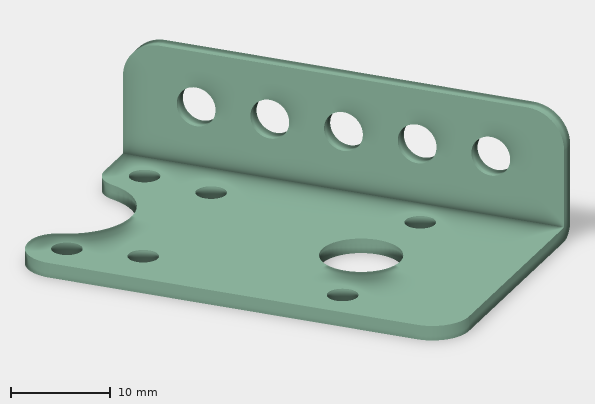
import cadquery as cq
import math

length = 48.0
depth = 30.0
height = 14.0
thickness = 1.6
corner_radius = 4.0
bend_radius = thickness

axis_y = 14.0
screw_diameter = 3.15
outer_screw_x = 4.2
outer_screw_pitch_x = 30.0
outer_screw_offset_y = 10.0
inner_screw_x = 12.0
inner_screw_offset_y = 8.75
shaft_x = 32.0
shaft_diameter = 8.45

notch_radius = 7.0
mouth_radius = 3.0

flange_hole_count = 5
flange_hole_pitch = 8.0
flange_hole_diameter = 4.2
flange_hole_z = 8.0


def make_bent_sheet():
    """L-shaped section with a rounded outer bend, extruded along X."""
    sheet = (
        cq.Workplane("YZ")
        .polyline([
            (0, 0),
            (depth, 0),
            (depth, height),
            (depth - thickness, height),
            (depth - thickness, thickness),
            (0, thickness),
        ])
        .close()
        .extrude(length)
    )
    sheet = sheet.edges("|X and >Y and <Z").fillet(bend_radius)
    sheet = sheet.faces("<Y").edges("|Z").fillet(corner_radius)
    return sheet.faces(">Z").edges("|Y").fillet(corner_radius)


def make_notch():
    """Cutter for the arc centred on the left edge and its two tangent mouth arcs."""
    center_distance = notch_radius + mouth_radius
    mouth_half_width = math.sqrt(center_distance**2 - mouth_radius**2)
    blend_angle = math.atan2(mouth_half_width, mouth_radius)
    blend_x = notch_radius * math.cos(blend_angle)
    blend_y = notch_radius * math.sin(blend_angle)
    middle_angle = (math.pi + math.pi + blend_angle) / 2
    middle_x = mouth_radius + mouth_radius * math.cos(middle_angle)
    middle_y = mouth_half_width + mouth_radius * math.sin(middle_angle)
    return (
        cq.Workplane("XY", origin=(0, axis_y, 0))
        .moveTo(0, -mouth_half_width)
        .threePointArc((middle_x, -middle_y), (blend_x, -blend_y))
        .threePointArc((notch_radius, 0), (blend_x, blend_y))
        .threePointArc((middle_x, middle_y), (0, mouth_half_width))
        .close()
        .extrude(thickness)
    )


def make_base_holes():
    """Cutters for the six screw holes and the large shaft hole."""
    screw_points = []
    for side in (-1, 1):
        outer_y = side * outer_screw_offset_y
        screw_points.append((outer_screw_x, outer_y))
        screw_points.append((outer_screw_x + outer_screw_pitch_x, outer_y))
        screw_points.append((inner_screw_x, side * inner_screw_offset_y))
    base = cq.Workplane("XY", origin=(0, axis_y, 0))
    screws = base.pushPoints(screw_points).circle(screw_diameter / 2).extrude(thickness)
    shaft = base.center(shaft_x, 0).circle(shaft_diameter / 2).extrude(thickness)
    return screws.union(shaft)


def make_flange_holes():
    """Cutters for the evenly spaced row through the flange, centred along X."""
    return (
        cq.Workplane("XZ", origin=(length / 2, depth, flange_hole_z))
        .rarray(flange_hole_pitch, 0.5, flange_hole_count, 1)
        .circle(flange_hole_diameter / 2)
        .extrude(thickness)
    )


result = make_bent_sheet().cut(make_notch()).cut(make_base_holes()).cut(make_flange_holes())